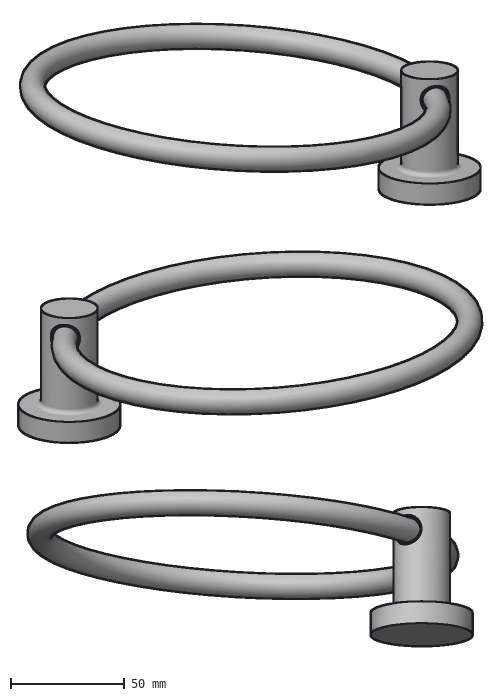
import cadquery as cq
import math

flange_diameter = 45.0
flange_height = 10.0
stem_diameter = 25.0
post_height = 55.0
root_fillet = 2.0

ring_outer_diameter = 190.0
bar_diameter = 11.1
tilt_degrees = 3.6
bore_height = 45.0
mouth_chamfer = 1.0

stem_radius = stem_diameter / 2
bar_radius = bar_diameter / 2
ring_radius = ring_outer_diameter / 2 - bar_radius


def make_ring():
    """Closed ring of round bar, its centre line crossing the stem axis at the bore height."""
    tilt = math.radians(tilt_degrees)
    centre = cq.Vector(
        0,
        -ring_radius * math.cos(tilt),
        bore_height + ring_radius * math.sin(tilt),
    )
    axis = cq.Vector(0, math.sin(tilt), math.cos(tilt))
    return cq.Workplane(cq.Solid.makeTorus(ring_radius, bar_radius, centre, axis))


def make_post_blank():
    """Flange and stem, with a fillet where they meet."""
    blank = (
        cq.Workplane("XY")
        .circle(flange_diameter / 2)
        .extrude(flange_height)
        .faces(">Z")
        .workplane()
        .circle(stem_radius)
        .extrude(post_height - flange_height)
    )
    stem_root = cq.selectors.RadiusNthSelector(0)
    return blank.faces("<Z[1]").edges(stem_root).fillet(root_fillet)


def bore_mouth(side):
    """Selector for the edges around the end of the bore on the +X (1) or -X (-1) side."""
    inner_corner = (side * stem_radius / 2, -bar_radius, bore_height - bar_radius)
    outer_corner = (side * stem_diameter, bar_radius, bore_height + bar_radius)
    return cq.selectors.BoxSelector(inner_corner, outer_corner)


def make_post(ring):
    """Post with a bore that follows the ring and is bevelled at both mouths."""
    bored = make_post_blank().cut(ring)
    return bored.edges(bore_mouth(1) + bore_mouth(-1)).chamfer(mouth_chamfer)


ring = make_ring()
post = make_post(ring)

result = cq.Compound.makeCompound([post.solids().val(), ring.val()])